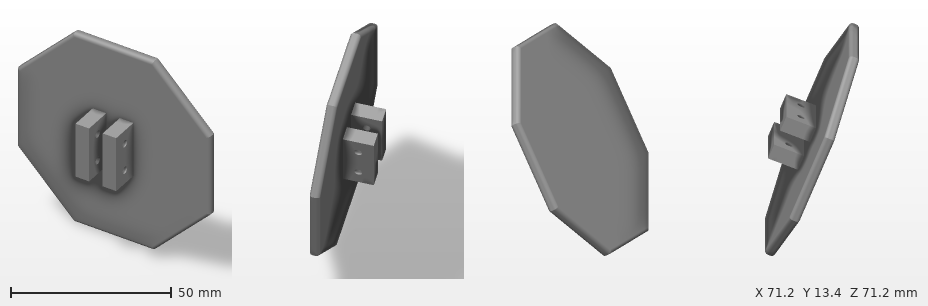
import cadquery as cq
import math

SIDE_COUNT = 8
ACROSS_FLATS = 71.18
PLATE_THICKNESS = 3.4
RIM_RADIUS = 1.2

LUG_WIDTH = 5.0
LUG_GAP = 5.0
LUG_DEPTH = 10.0
LUG_HEIGHT = 20.0

HOLE_DIAMETER = 2.5
HOLE_SPACING = 10.0

LUG_CENTER_X = (LUG_GAP + LUG_WIDTH) / 2
LUG_CENTER_Y = -LUG_DEPTH / 2
LUG_PAIR_WIDTH = 2 * LUG_WIDTH + LUG_GAP


def make_plate():
    """Regular octagon with flats facing X and Z, rounded along both rims."""
    half_angle = math.pi / SIDE_COUNT
    corner_radius = ACROSS_FLATS / 2 / math.cos(half_angle)
    corners = []
    for index in range(SIDE_COUNT):
        angle = (2 * index + 1) * half_angle
        corners.append((corner_radius * math.cos(angle), corner_radius * math.sin(angle)))
    plate = cq.Workplane("XZ").polyline(corners).close().extrude(-PLATE_THICKNESS)
    return plate.faces("<Y or >Y").edges().fillet(RIM_RADIUS)


def make_lugs():
    """Two identical blocks, mirrored about the YZ plane."""
    return (
        cq.Workplane("XY")
        .pushPoints([(-LUG_CENTER_X, LUG_CENTER_Y), (LUG_CENTER_X, LUG_CENTER_Y)])
        .box(LUG_WIDTH, LUG_DEPTH, LUG_HEIGHT)
    )


def make_pin_holes():
    """Cylinders that span both lugs, one above and one below the middle."""
    return (
        cq.Workplane("YZ", origin=(-LUG_PAIR_WIDTH / 2, 0, 0))
        .pushPoints([(LUG_CENTER_Y, -HOLE_SPACING / 2), (LUG_CENTER_Y, HOLE_SPACING / 2)])
        .circle(HOLE_DIAMETER / 2)
        .extrude(LUG_PAIR_WIDTH)
    )


result = make_plate().union(make_lugs()).cut(make_pin_holes())